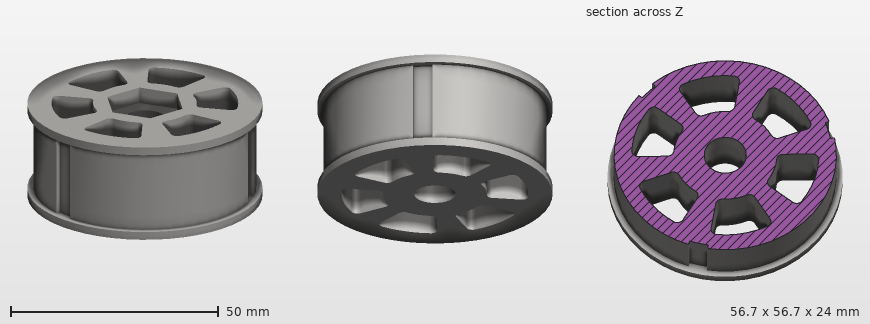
import cadquery as cq
import math

flange_diameter = 56.66
height = 24.0
flange_thickness = 2.0
flange_overhang = 1.5

bore_diameter = 10.0
nut_sides = 6
nut_across_flats = 17.0
nut_pocket_depth = 4.0

spoke_count = 6
spoke_angle = 20.0
first_spoke_direction = 20.0
window_inner_radius = 12.5
window_outer_radius = 22.5
window_corner_radius = 1.5

groove_count = 3
groove_angle = 10.0
groove_depth = 1.0

drum_radius = flange_diameter / 2 - flange_overhang
drum_height = height - 2 * flange_thickness
window_angle = 360.0 / spoke_count - spoke_angle
first_window_start = first_spoke_direction + spoke_angle / 2
first_groove_start = first_spoke_direction
nut_across_corners = nut_across_flats / math.cos(math.pi / nut_sides)


def polar_point(radius, angle):
    """Point at a radius and an angle in degrees from +X."""
    return (radius * math.cos(math.radians(angle)), radius * math.sin(math.radians(angle)))


def ring_sector(inner_radius, outer_radius, start_angle, sweep_angle, bottom, sector_height):
    """Upright block bounded by two arcs about the Z axis and two radial walls."""
    end_angle = start_angle + sweep_angle
    middle_angle = start_angle + sweep_angle / 2
    return (
        cq.Workplane("XY", origin=(0, 0, bottom))
        .moveTo(*polar_point(inner_radius, start_angle))
        .lineTo(*polar_point(outer_radius, start_angle))
        .threePointArc(polar_point(outer_radius, middle_angle), polar_point(outer_radius, end_angle))
        .lineTo(*polar_point(inner_radius, end_angle))
        .threePointArc(polar_point(inner_radius, middle_angle), polar_point(inner_radius, start_angle))
        .close()
        .extrude(sector_height)
    )


def make_spool():
    """Drum with a flange at each end, standing on Z = 0."""
    flange = cq.Workplane("XY").circle(flange_diameter / 2).extrude(flange_thickness)
    drum = cq.Workplane("XY").circle(drum_radius).extrude(height)
    top_flange = flange.translate((0, 0, height - flange_thickness))
    return drum.union(flange).union(top_flange)


def cut_grooves(body):
    """Cut the shallow grooves along the drum, from flange to flange."""
    for index in range(groove_count):
        start_angle = first_groove_start + index * 360.0 / groove_count
        groove = ring_sector(
            drum_radius - groove_depth,
            flange_diameter / 2,
            start_angle,
            groove_angle,
            flange_thickness,
            drum_height,
        )
        body = body.cut(groove)
    return body


def cut_windows(body):
    """Cut the rounded windows through the full height."""
    for index in range(spoke_count):
        start_angle = first_window_start + index * 360.0 / spoke_count
        window = ring_sector(
            window_inner_radius, window_outer_radius, start_angle, window_angle, 0, height
        )
        body = body.cut(window.edges("|Z").fillet(window_corner_radius))
    return body


def cut_bore(body):
    """Cut the round axle bore through the full height."""
    return body.cut(cq.Workplane("XY").circle(bore_diameter / 2).extrude(height))


def cut_nut_pocket(body):
    """Sink the hexagonal pocket into the top face, its corners pointing along the spokes."""
    pocket = (
        cq.Workplane("XY", origin=(0, 0, height - nut_pocket_depth))
        .polygon(nut_sides, nut_across_corners)
        .extrude(nut_pocket_depth)
        .rotate((0, 0, 0), (0, 0, 1), first_spoke_direction)
    )
    return body.cut(pocket)


result = make_spool()
result = cut_grooves(result)
result = cut_windows(result)
result = cut_bore(result)
result = cut_nut_pocket(result)